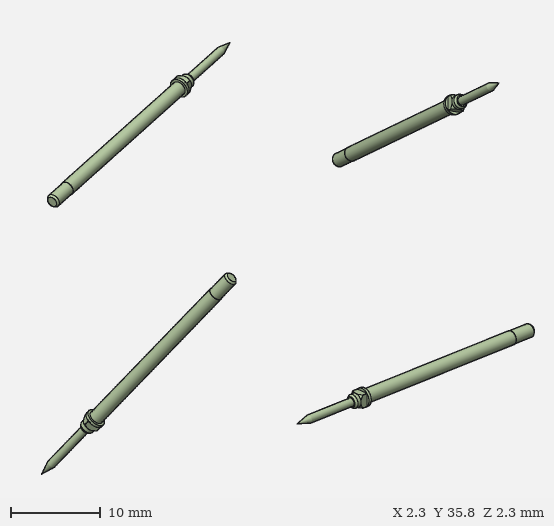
import cadquery as cq

total_length = 35.8
point_y = total_length / 2
tail_y = -total_length / 2

plunger_diameter = 1.0
point_length = 1.85
plunger_length = 8.27

barrel_diameter = 1.7
nose_diameter = 1.3
nose_length = 0.3
collar_length = 0.45

square_size = 1.65
square_length = 0.93
corner_chamfer_slope = 1.0

flange_diameter = 2.3
flange_length = 0.35

tail_diameter = 1.6
tail_length = 3.0
tail_chamfer_length = 0.25
tail_end_diameter = 1.2

plunger_radius = plunger_diameter / 2
barrel_radius = barrel_diameter / 2
flange_radius = flange_diameter / 2
tail_radius = tail_diameter / 2

point_base_y = point_y - point_length
nose_y = point_y - plunger_length
collar_y = nose_y - nose_length
square_y = collar_y - collar_length
flange_y = square_y - square_length
barrel_y = flange_y - flange_length
plug_y = tail_y + tail_length


def revolve_about_y(outline):
    """Turn a half outline of (radius, y) points about the Y axis."""
    return cq.Workplane("XY").polyline(outline).close().revolve(360, (0, 0, 0), (0, 1, 0))


def turned_body():
    """Plunger, nose, collar, round core of the shank, flange, barrel and tail plug."""
    return revolve_about_y([
        (0, point_y),
        (plunger_radius, point_base_y),
        (plunger_radius, nose_y),
        (nose_diameter / 2, nose_y),
        (barrel_radius, collar_y),
        (barrel_radius, square_y),
        (square_size / 2, square_y),
        (square_size / 2, flange_y),
        (flange_radius, flange_y),
        (flange_radius, barrel_y),
        (barrel_radius, barrel_y),
        (barrel_radius, plug_y),
        (tail_radius, plug_y),
        (tail_radius, tail_y + tail_chamfer_length),
        (tail_end_diameter / 2, tail_y),
        (0, tail_y),
    ])


def square_shank():
    """Square prism with a conical chamfer at its front."""
    prism = cq.Workplane("XY").box(square_size, square_length, square_size)
    prism = prism.translate((0, flange_y + square_length / 2, 0))
    cone_length = (flange_radius - barrel_radius) / corner_chamfer_slope
    envelope = revolve_about_y([
        (0, square_y),
        (barrel_radius, square_y),
        (flange_radius, square_y - cone_length),
        (flange_radius, flange_y),
        (0, flange_y),
    ])
    return prism.intersect(envelope)


result = turned_body().union(square_shank())